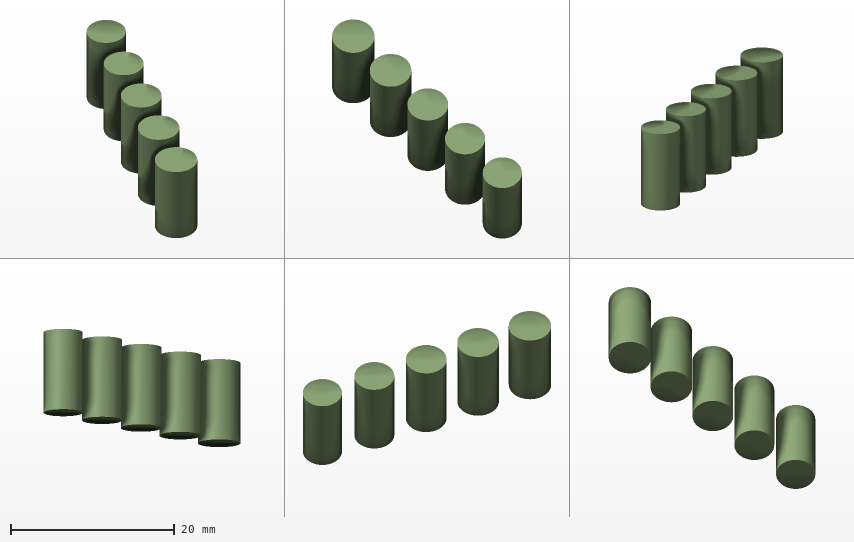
import cadquery as cq

pin_count = 5
pin_length = 10.0
pin_pitch = 7.0
smallest_diameter = 4.8
diameter_step = 0.1


def gauge_pin(index):
    """One upright pin, placed by its index in the row."""
    diameter = smallest_diameter + index * diameter_step
    return (
        cq.Workplane("XY")
        .center(index * pin_pitch, 0)
        .circle(diameter / 2)
        .extrude(pin_length)
    )


gauge_pins = [gauge_pin(index) for index in range(pin_count)]

result = cq.Compound.makeCompound([pin.val() for pin in gauge_pins])